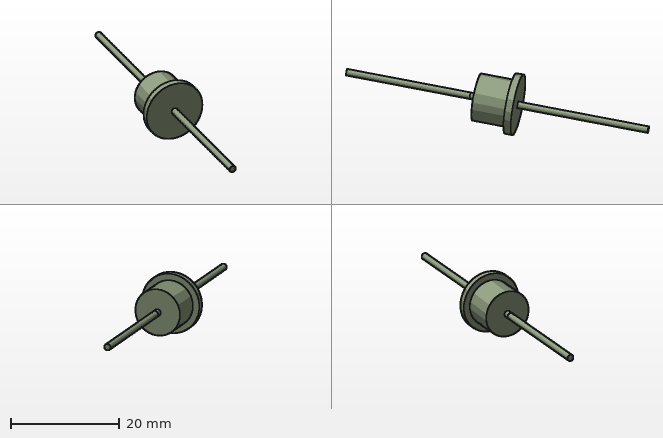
import cadquery as cq

overall_length = 57.4
lead_diameter = 1.25
front_lead_length = 23.55
housing_length = 7.8
barrel_diameter = 8.9
flange_diameter = 11.4
flange_thickness = 1.4

front_end = -overall_length / 2
lead_joint = front_end + front_lead_length
housing_front = -housing_length / 2
barrel_length = housing_length - flange_thickness
flange_front = housing_front + barrel_length
through_lead_length = overall_length - front_lead_length


def rod(start, length, diameter):
    """Solid cylinder on the X axis, running from start towards +X."""
    return cq.Workplane("YZ", origin=(start, 0, 0)).circle(diameter / 2).extrude(length)


def make_housing():
    """Flanged barrel with a bore that fits the through lead."""
    barrel = rod(housing_front, barrel_length, barrel_diameter)
    flange = rod(flange_front, flange_thickness, flange_diameter)
    bore = rod(housing_front, housing_length, lead_diameter)
    return barrel.union(flange).cut(bore).solids()


def make_through_lead():
    """Lead that passes through the housing and out behind the flange."""
    return rod(lead_joint, through_lead_length, lead_diameter)


def make_front_lead():
    """Lead that butts against the through lead just ahead of the housing."""
    return rod(front_end, front_lead_length, lead_diameter)


housing = make_housing()
through_lead = make_through_lead()
front_lead = make_front_lead()

result = cq.Compound.makeCompound([housing.val(), through_lead.val(), front_lead.val()])